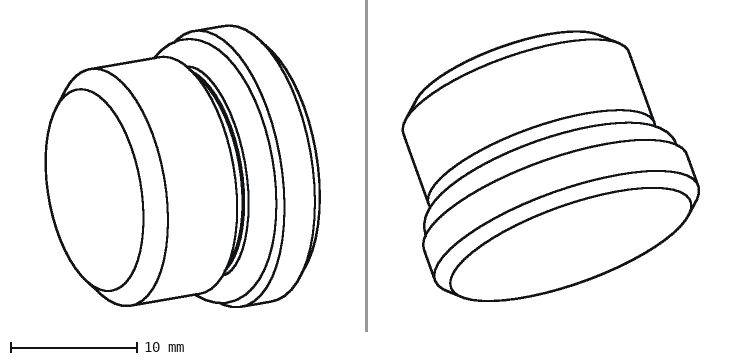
import cadquery as cq

total_length = 14.85
head_diameter = 22.2
head_thickness = 3.75
head_chamfer = 1.0
shank_diameter = 19.05
nose_chamfer = 1.43

ring_inner_diameter = 16.76
ring_section = 2.2

neck_diameter = ring_inner_diameter
neck_width = ring_section
collar_diameter = 16.92
collar_width = 0.15
cone_length = (shank_diameter - collar_diameter) / 2

head_top = head_thickness
nose_end = head_top - total_length
collar_top = -neck_width
cone_top = collar_top - collar_width
shank_top = cone_top - cone_length


def make_plug():
    """Solid plug with a chamfered head, an O-ring neck, a collar and a chamfered shank."""
    head_radius = head_diameter / 2
    shank_radius = shank_diameter / 2
    collar_radius = collar_diameter / 2
    neck_radius = neck_diameter / 2
    profile = [
        (0, nose_end),
        (shank_radius - nose_chamfer, nose_end),
        (shank_radius, nose_end + nose_chamfer),
        (shank_radius, shank_top),
        (collar_radius, cone_top),
        (collar_radius, collar_top),
        (neck_radius, collar_top),
        (neck_radius, 0),
        (head_radius, 0),
        (head_radius, head_top - head_chamfer),
        (head_radius - head_chamfer, head_top),
        (0, head_top),
    ]
    return cq.Workplane("XY").polyline(profile).close().revolve(360, (0, 0, 0), (0, 1, 0))


def make_o_ring():
    """Round-section ring touching the neck and the underside of the head."""
    section_radius = ring_section / 2
    section_centre = ring_inner_diameter / 2 + section_radius
    return (
        cq.Workplane("XY")
        .center(section_centre, -section_radius)
        .circle(section_radius)
        .revolve(360, (-section_centre, 0, 0), (-section_centre, 1, 0))
    )


plug = make_plug()
o_ring = make_o_ring()

result = cq.Compound.makeCompound([plug.val(), o_ring.val()])